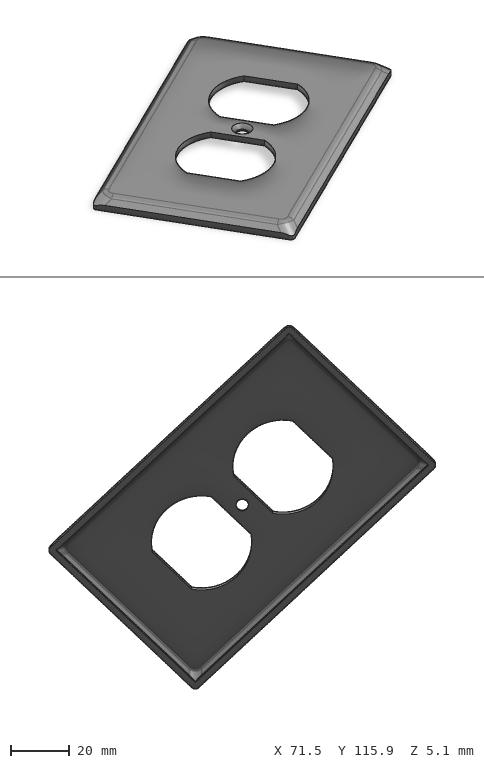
import cadquery as cq

plate_width = 71.5
plate_length = 115.9
plate_thickness = 5.1
rim_height = 2.3
bevel = plate_thickness - rim_height
miter_radius = 6.4
corner_radius = 1.6
shoulder_radius = 3.1

wall = 2.2

opening_diameter = 34.1
opening_height = 28.3
opening_offset = 19.5

screw_diameter = 4.2
countersink_diameter = 7.2
countersink_angle = 90


def make_plate():
    """Bevelled plate with rounded corners, lying on Z = 0 and hollow from below."""
    plate = cq.Workplane("XY").box(plate_width, plate_length, plate_thickness, centered=(True, True, False))
    plate = plate.faces(">Z").chamfer(bevel)
    plate = plate.edges("not(#X or #Y or #Z)").fillet(miter_radius)
    plate = plate.edges("|Z").fillet(corner_radius)
    plate = plate.faces(">Z").edges().fillet(shoulder_radius)
    return plate.faces("<Z").shell(-wall)


def make_opening(center_y):
    """Cutter for one receptacle opening."""
    barrel = cq.Workplane("XY").circle(opening_diameter / 2).extrude(plate_thickness)
    flats = cq.Workplane("XY").rect(opening_diameter, opening_height).extrude(plate_thickness)
    return barrel.intersect(flats).translate((0, center_y, 0))


def add_screw_hole(plate):
    """Drill the countersunk hole through the middle of the top face."""
    top = plate.faces(">Z").workplane(origin=(0, 0, plate_thickness))
    return top.cskHole(screw_diameter, countersink_diameter, countersink_angle)


plate = make_plate()
for side in (-1, 1):
    plate = plate.cut(make_opening(side * opening_offset))
result = add_screw_hole(plate)